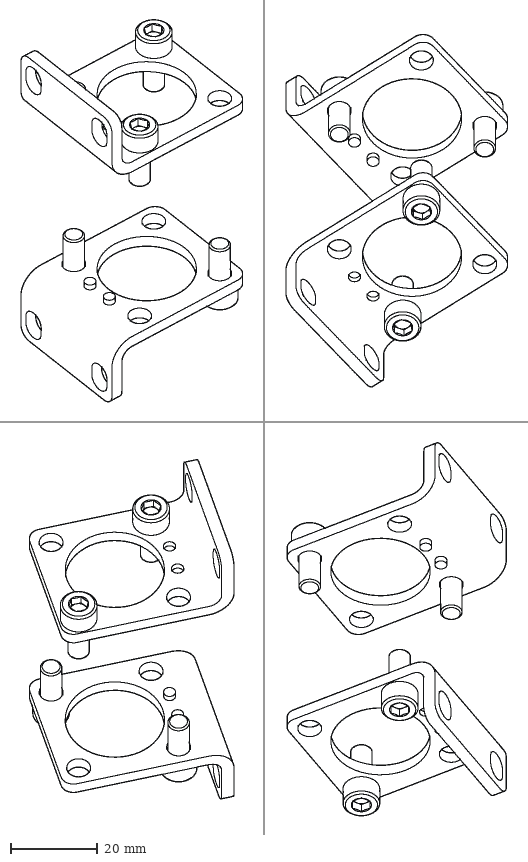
import cadquery as cq
import math

overall_height = 86.0
width = 33.2
bracket_length = 40.8
bore_to_plate_end = 16.7

thickness = 3.0
flange_height = 18.0
bend_inner_radius = 3.0
bend_outer_radius = bend_inner_radius + thickness
corner_radius = 3.0

bore_diameter = 23.0
screw_pitch = 24.0
screw_hole_diameter = 5.5
slot_width = 5.5
slot_length = 7.5
slot_edge_distance = 5.85

peg_diameter = 2.75
peg_height = 1.5
dimple_diameter = 2.8
dimple_depth = peg_height
peg_offset_x = 3.5
peg_y = -14.1

shank_diameter = 5.0
shank_length = 12.0
tip_chamfer = 0.4
head_diameter = 8.5
head_height = 5.0
head_chamfer = 0.5
socket_flats = 4.0
socket_depth = 2.2
socket_sides = 6
socket_cone_angle = 120.0

flange_outer_y = bore_to_plate_end - bracket_length
flange_inner_y = flange_outer_y + thickness
flange_top_z = overall_height / 2
plate_bottom_z = flange_top_z - flange_height
plate_top_z = plate_bottom_z + thickness
slot_z = flange_top_z - slot_edge_distance
half_pitch = screw_pitch / 2
hole_points = [(x, y) for x in (-half_pitch, half_pitch) for y in (-half_pitch, half_pitch)]
screw_points = [(-half_pitch, half_pitch), (half_pitch, -half_pitch)]
peg_points = [(-peg_offset_x, peg_y), (peg_offset_x, peg_y)]


def bent_sheet():
    """L-shaped sheet with a rounded bend and rounded free corners."""
    sheet = (
        cq.Workplane("YZ")
        .moveTo(bore_to_plate_end, plate_bottom_z)
        .lineTo(flange_outer_y + bend_outer_radius, plate_bottom_z)
        .radiusArc((flange_outer_y, plate_bottom_z + bend_outer_radius), bend_outer_radius)
        .lineTo(flange_outer_y, flange_top_z)
        .lineTo(flange_inner_y, flange_top_z)
        .lineTo(flange_inner_y, plate_top_z + bend_inner_radius)
        .radiusArc((flange_inner_y + bend_inner_radius, plate_top_z), -bend_inner_radius)
        .lineTo(bore_to_plate_end, plate_top_z)
        .close()
        .extrude(width / 2, both=True)
    )
    sheet = sheet.edges("|Z and >Y").fillet(corner_radius)
    return sheet.edges("|Y and >Z").fillet(corner_radius)


def plate_cylinders(points, diameter, bottom_z, height):
    """Upright cylinders standing on bottom_z at the given X, Y points."""
    plane = cq.Workplane("XY", origin=(0, 0, bottom_z))
    return plane.pushPoints(points).circle(diameter / 2).extrude(height)


def flange_slots():
    """Upright slots that pass through the flange, in line with the screw holes."""
    return (
        cq.Workplane("XZ", origin=(0, flange_inner_y, 0))
        .pushPoints([(-half_pitch, slot_z), (half_pitch, slot_z)])
        .slot2D(slot_length, slot_width, 90)
        .extrude(thickness)
    )


def make_bracket():
    """Upper bracket: flange pointing up, pegs pointing down."""
    dimple_floor_z = plate_top_z - dimple_depth
    peg_end_z = plate_bottom_z - peg_height
    bore = plate_cylinders([(0, 0)], bore_diameter, plate_bottom_z, thickness)
    screw_holes = plate_cylinders(hole_points, screw_hole_diameter, plate_bottom_z, thickness)
    dimples = plate_cylinders(peg_points, dimple_diameter, dimple_floor_z, dimple_depth)
    pegs = plate_cylinders(peg_points, peg_diameter, peg_end_z, peg_height)
    bracket = bent_sheet().cut(bore).cut(screw_holes).cut(flange_slots()).cut(dimples)
    return bracket.union(pegs)


def make_screw():
    """Cap screw on the Z axis, with the underside of its head at Z = 0."""
    head = cq.Workplane("XY").circle(head_diameter / 2).extrude(head_height)
    head = head.edges(">Z").chamfer(head_chamfer)
    shank = cq.Workplane("XY").circle(shank_diameter / 2).extrude(-shank_length)
    shank = shank.edges("<Z").chamfer(tip_chamfer)
    return head.union(shank).cut(hex_socket())


def hex_socket():
    """Hexagonal recess, flats facing X, with a conical lead-in and a conical drilled bottom."""
    cone_slope = 1 / math.tan(math.radians(socket_cone_angle / 2))
    corner_circle = socket_flats / math.cos(math.pi / socket_sides)
    floor_z = head_height - socket_depth
    hexagon = (
        cq.Workplane("XY", origin=(0, 0, floor_z))
        .transformed(rotate=(0, 0, 90))
        .polygon(socket_sides, corner_circle)
        .extrude(socket_depth)
    )
    lead_in = downward_cone(corner_circle / 2, cone_slope, head_height)
    drill_point = downward_cone(socket_flats / 2, cone_slope, floor_z)
    return hexagon.union(lead_in).union(drill_point)


def downward_cone(radius, slope, top_z):
    """Cone with its base at top_z and its point below, on the Z axis."""
    depth = radius * slope
    return (
        cq.Workplane("XZ")
        .polyline([(0, top_z), (radius, top_z), (0, top_z - depth)])
        .close()
        .revolve(360, (0, 0, 0), (0, 1, 0))
    )


def turned_over(body):
    """Lower counterpart of an upper body: half a turn about the Y axis."""
    return body.rotate((0, 0, 0), (0, 1, 0), 180)


upper_bracket = make_bracket()
brackets = [upper_bracket, turned_over(upper_bracket)]

screws = []
for x, y in screw_points:
    upper_screw = make_screw().translate((x, y, plate_top_z))
    screws.append(upper_screw)
    screws.append(turned_over(upper_screw))

result = cq.Compound.makeCompound([body.val() for body in brackets + screws])